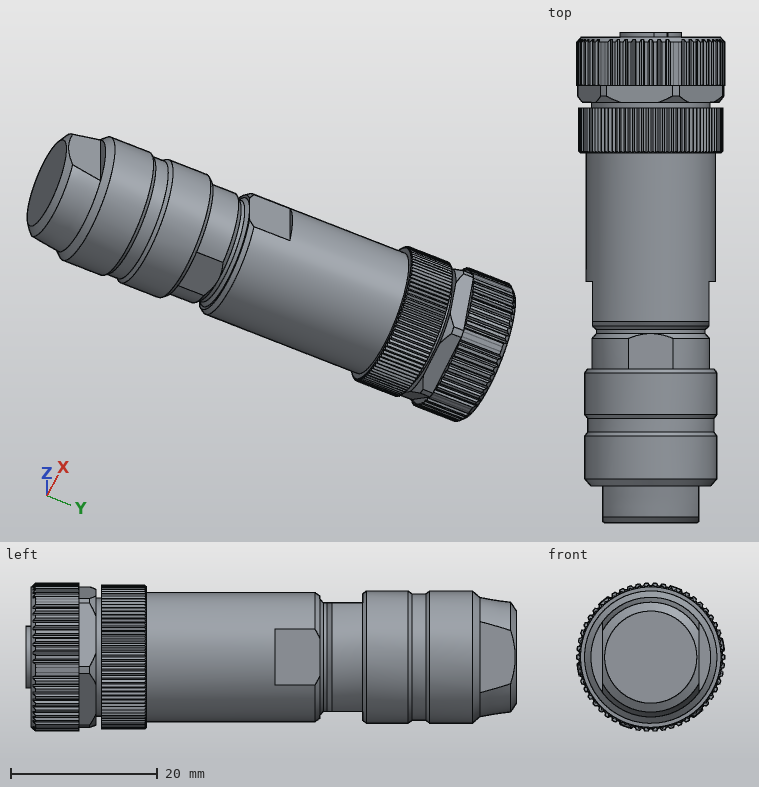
import cadquery as cq
import math


LENGTH = 66.9

NUT_FRONT = 66.2
NUT_KNURL_END = 59.7
NUT_BACK = 57.3
NUT_RADIUS = 10.1
NUT_FACE_RADIUS = 9.5
NUT_FACE_CHAMFER = 0.7
NUT_GROOVE_DEPTH = 0.35
NUT_GROOVES_PER_SIDE = 9
NUT_TOOTH_TIP_SHARE = 0.4
NUT_TOOTH_ROOT_SHARE = 0.25
HEX_SIDES = 6
HEX_ACROSS_FLATS = 17.85
HEX_CORNER_RADIUS = 10.05
HEX_CHAMFER_LENGTH = 0.9
HEX_BACK_RADIUS = 9.3
HEX_CORNER_ANGLE = 10.0

CARRIER_RADIUS = 4.2
KEYWAY_ANGLE = HEX_CORNER_ANGLE + 360 / HEX_SIDES
KEYWAY_WIDTH = 2.0
KEYWAY_DEPTH = 0.55
NECK_RADIUS = 8.1

RING_FRONT = 56.6
RING_BACK = 50.45
RING_RADIUS = 9.85
RING_BACK_CHAMFER = 0.3
RING_GROOVES = 96
RING_GROOVE_DEPTH = 0.3

SLEEVE_RADIUS = 8.8
SLEEVE_BACK = 26.8
SLEEVE_CHAMFER = 0.7
SLEEVE_CHAMFER_DEPTH = 0.5
SLEEVE_FLAT_OFFSET = 7.95
SLEEVE_FLAT_FRONT = 32.9

GROOVE_RADIUS = 7.4
GROOVE_CONE_RADIUS = 7.95
GROOVE_FRONT = 26.35
GROOVE_BACK = 25.8
COLLAR_RADIUS = 8.0
COLLAR_FRONT = 25.15

CLAMP_FRONT = 21.0
CLAMP_RADIUS = 9.0
CLAMP_GROOVE_RADIUS = 8.6
CLAMP_GROOVE_FRONT = 14.25
CLAMP_GROOVE_BACK = 12.4
CLAMP_CHAMFER = 0.55
CLAMP_CHAMFER_DEPTH = CLAMP_RADIUS - CLAMP_GROOVE_RADIUS
CLAMP_BACK_CHAMFER = 1.0

TAIL_FRONT = 5.0
TAIL_FRONT_RADIUS = 8.15
TAIL_BACK_RADIUS = 7.5
TAIL_CHAMFER = 0.8
TAIL_END_RADIUS = 6.3
TAIL_FLAT_OFFSET = 6.55

CUT_MARGIN = 3.35


def revolve_about_y(profile):
    """Turn a closed (radius, y) profile about the Y axis."""
    return cq.Workplane("XY").polyline(profile).close().revolve(360, (0, 0, 0), (0, 1, 0))


def ring_point(radius, angle):
    """Point in the XZ plane, with the angle in degrees from +X towards +Z."""
    turn = math.radians(angle)
    return radius * math.cos(turn), radius * math.sin(turn)


def prism(outline, y_start, y_end):
    """Extrude an outline of (x, z) points from y_start to y_end."""
    plane = cq.Workplane("XZ", origin=(0, y_start, 0))
    return plane.polyline(outline).close().extrude(y_start - y_end)


def grip_outline():
    """Flat-topped teeth around the coupling nut, with a plain land in line with each hexagon corner."""
    grooves = HEX_SIDES * NUT_GROOVES_PER_SIDE
    pitch = 360 / grooves
    half_root = NUT_TOOTH_ROOT_SHARE * pitch / 2
    half_tip = NUT_TOOTH_TIP_SHARE * pitch / 2
    root_radius = NUT_RADIUS - NUT_GROOVE_DEPTH
    outline = []
    for index in range(grooves):
        groove_angle = HEX_CORNER_ANGLE + index * pitch
        tip_angle = groove_angle + pitch / 2
        if index % NUT_GROOVES_PER_SIDE:
            outline.append(ring_point(root_radius, groove_angle - half_root))
            outline.append(ring_point(root_radius, groove_angle + half_root))
        outline.append(ring_point(NUT_RADIUS, tip_angle - half_tip))
        outline.append(ring_point(NUT_RADIUS, tip_angle + half_tip))
    return outline


def ring_outline():
    """Pointed teeth with V grooves all around the knurled ring."""
    pitch = 360 / RING_GROOVES
    outline = []
    for index in range(RING_GROOVES):
        groove_angle = index * pitch
        outline.append(ring_point(RING_RADIUS - RING_GROOVE_DEPTH, groove_angle))
        outline.append(ring_point(RING_RADIUS, groove_angle + pitch / 2))
    return outline


def paired_flats(body, axis, offset, y_start, y_end):
    """Cut two opposite flats, each at the given offset from the Y axis along "x" or "z"."""
    reach = CLAMP_RADIUS + CUT_MARGIN
    thickness = reach - offset
    middle = (y_start + y_end) / 2
    for side in (-1, 1):
        shift = side * (offset + thickness / 2)
        if axis == "x":
            block = cq.Workplane("XY").box(thickness, y_end - y_start, 2 * reach)
            body = body.cut(block.translate((shift, middle, 0)))
        else:
            block = cq.Workplane("XY").box(2 * reach, y_end - y_start, thickness)
            body = body.cut(block.translate((0, middle, shift)))
    return body


def make_coupling_nut():
    grip_envelope = revolve_about_y([
        (0, NUT_KNURL_END),
        (NUT_RADIUS, NUT_KNURL_END),
        (NUT_RADIUS, NUT_FRONT - NUT_FACE_CHAMFER),
        (NUT_FACE_RADIUS, NUT_FRONT),
        (0, NUT_FRONT),
    ])
    grip = prism(grip_outline(), NUT_KNURL_END, NUT_FRONT).intersect(grip_envelope)

    hex_tip_radius = HEX_ACROSS_FLATS / 2 / math.cos(math.pi / HEX_SIDES)
    hex_outline = [
        ring_point(hex_tip_radius, HEX_CORNER_ANGLE + corner * 360 / HEX_SIDES) for corner in range(HEX_SIDES)
    ]
    hex_envelope = revolve_about_y([
        (0, NUT_BACK),
        (HEX_BACK_RADIUS, NUT_BACK),
        (HEX_CORNER_RADIUS, NUT_BACK + HEX_CHAMFER_LENGTH),
        (HEX_CORNER_RADIUS, NUT_KNURL_END),
        (0, NUT_KNURL_END),
    ])
    hexagon = prism(hex_outline, NUT_BACK, NUT_KNURL_END).intersect(hex_envelope)

    bore = revolve_about_y([
        (0, NUT_BACK - CUT_MARGIN),
        (CARRIER_RADIUS, NUT_BACK - CUT_MARGIN),
        (CARRIER_RADIUS, LENGTH),
        (0, LENGTH),
    ])
    return grip.union(hexagon).cut(bore)


def make_knurled_ring():
    envelope = revolve_about_y([
        (0, RING_BACK),
        (RING_RADIUS - RING_BACK_CHAMFER, RING_BACK),
        (RING_RADIUS, RING_BACK + RING_BACK_CHAMFER),
        (RING_RADIUS, RING_FRONT),
        (0, RING_FRONT),
    ])
    return prism(ring_outline(), RING_BACK, RING_FRONT).intersect(envelope)


def make_turned_core():
    """Carrier, neck, sleeve, groove and collar."""
    return revolve_about_y([
        (0, CLAMP_FRONT),
        (COLLAR_RADIUS, CLAMP_FRONT),
        (COLLAR_RADIUS, COLLAR_FRONT),
        (GROOVE_RADIUS, GROOVE_BACK),
        (GROOVE_RADIUS, GROOVE_FRONT),
        (GROOVE_CONE_RADIUS, SLEEVE_BACK),
        (SLEEVE_RADIUS - SLEEVE_CHAMFER_DEPTH, SLEEVE_BACK),
        (SLEEVE_RADIUS, SLEEVE_BACK + SLEEVE_CHAMFER),
        (SLEEVE_RADIUS, RING_BACK),
        (NECK_RADIUS, RING_BACK),
        (NECK_RADIUS, NUT_BACK),
        (CARRIER_RADIUS, NUT_BACK),
        (CARRIER_RADIUS, LENGTH),
        (0, LENGTH),
    ])


def make_clamping_nut():
    return revolve_about_y([
        (0, TAIL_FRONT),
        (TAIL_FRONT_RADIUS, TAIL_FRONT),
        (CLAMP_RADIUS, TAIL_FRONT + CLAMP_BACK_CHAMFER),
        (CLAMP_RADIUS, CLAMP_GROOVE_BACK - CLAMP_CHAMFER),
        (CLAMP_GROOVE_RADIUS, CLAMP_GROOVE_BACK),
        (CLAMP_GROOVE_RADIUS, CLAMP_GROOVE_FRONT),
        (CLAMP_RADIUS, CLAMP_GROOVE_FRONT + CLAMP_CHAMFER),
        (CLAMP_RADIUS, CLAMP_FRONT - CLAMP_CHAMFER),
        (CLAMP_RADIUS - CLAMP_CHAMFER_DEPTH, CLAMP_FRONT),
        (0, CLAMP_FRONT),
    ])


def make_tail():
    tail = revolve_about_y([
        (0, 0),
        (TAIL_END_RADIUS, 0),
        (TAIL_BACK_RADIUS, TAIL_CHAMFER),
        (TAIL_FRONT_RADIUS, TAIL_FRONT),
        (0, TAIL_FRONT),
    ])
    return paired_flats(tail, "x", TAIL_FLAT_OFFSET, 0, TAIL_FRONT)


def cut_keyway(body):
    """Slot in the rim of the carrier, over the length that stands out of the coupling nut."""
    length = LENGTH - NUT_FRONT
    slot = cq.Workplane("XY").box(2 * KEYWAY_DEPTH, length, KEYWAY_WIDTH)
    slot = slot.translate((CARRIER_RADIUS, NUT_FRONT + length / 2, 0))
    return body.cut(slot.rotate((0, 0, 0), (0, 1, 0), -KEYWAY_ANGLE))


def make_plug_body():
    core = make_turned_core()
    core = paired_flats(core, "x", SLEEVE_FLAT_OFFSET, SLEEVE_BACK, SLEEVE_FLAT_FRONT)
    core = paired_flats(core, "z", GROOVE_RADIUS, CLAMP_FRONT, GROOVE_BACK)
    core = cut_keyway(core)
    return core.union(make_knurled_ring()).union(make_clamping_nut()).union(make_tail())


coupling_nut = make_coupling_nut()
plug_body = make_plug_body()

result = cq.Compound.makeCompound([coupling_nut.val(), plug_body.val()])